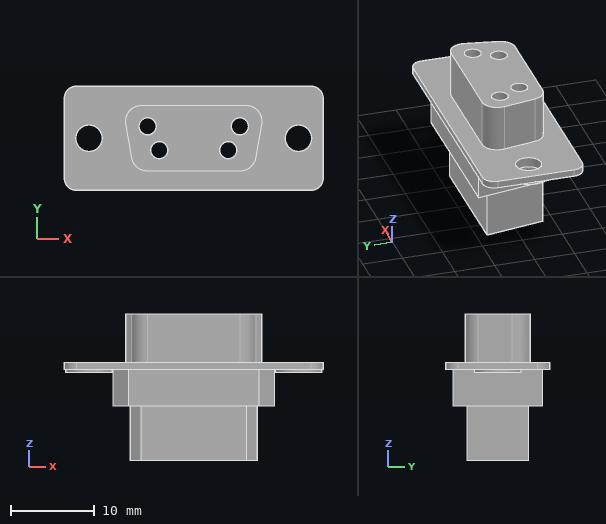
import cadquery as cq
import math

PLATE_LENGTH = 31
PLATE_WIDTH = 12.5
PLATE_THICKNESS = 0.87
PLATE_CORNER_RADIUS = 1.5

MOUNT_OFFSET = 12.52
MOUNT_HOLE_DIAMETER = 3.13
PAD_DIAMETER = 5.6
PAD_THICKNESS = 0.37

SIDE_ANGLE = math.radians(10)
SHELL_LENGTH = 17.05
SHELL_WIDTH = 7.8
SHELL_HEIGHT = 5.8
SHELL_CORNER_RADIUS = 1.9
BODY_LENGTH = 19.38
BODY_WIDTH = 10.75
BODY_HEIGHT = 4.37
TAIL_LENGTH = 15.22
TAIL_WIDTH = 7.38
TAIL_HEIGHT = 6.5

CONTACT_DIAMETER = 2.0
CONTACT_ROW_Y = 1.43
BACK_CONTACT_X = 5.52
FRONT_CONTACT_X = 4.12

plate_bottom = -PLATE_THICKNESS
body_bottom = plate_bottom - BODY_HEIGHT
tail_bottom = body_bottom - TAIL_HEIGHT


def d_block(length, width, height, bottom):
    """Trapezoidal block with sloping ends, narrower toward -Y."""
    back_x = length / 2
    front_x = back_x - width * math.tan(SIDE_ANGLE)
    half_width = width / 2
    outline = [
        (-back_x, half_width),
        (back_x, half_width),
        (front_x, -half_width),
        (-front_x, -half_width),
    ]
    return cq.Workplane("XY").workplane(offset=bottom).polyline(outline).close().extrude(height)


def through_holes(points, diameter):
    """Vertical cutters spanning the full height of the part."""
    height = SHELL_HEIGHT - tail_bottom
    plane = cq.Workplane("XY").workplane(offset=tail_bottom)
    return plane.pushPoints(points).circle(diameter / 2).extrude(height)


plate = (
    cq.Workplane("XY")
    .workplane(offset=plate_bottom)
    .rect(PLATE_LENGTH, PLATE_WIDTH)
    .extrude(PLATE_THICKNESS)
    .edges("|Z")
    .fillet(PLATE_CORNER_RADIUS)
)

shell = d_block(SHELL_LENGTH, SHELL_WIDTH, SHELL_HEIGHT, 0).edges("|Z").fillet(SHELL_CORNER_RADIUS)
body = d_block(BODY_LENGTH, BODY_WIDTH, BODY_HEIGHT, body_bottom)
tail = d_block(TAIL_LENGTH, TAIL_WIDTH, TAIL_HEIGHT, tail_bottom)

mount_points = [(-MOUNT_OFFSET, 0), (MOUNT_OFFSET, 0)]
pads = (
    cq.Workplane("XY")
    .workplane(offset=plate_bottom)
    .pushPoints(mount_points)
    .circle(PAD_DIAMETER / 2)
    .extrude(-PAD_THICKNESS)
)

contact_points = []
for side in (-1, 1):
    contact_points.append((side * BACK_CONTACT_X, CONTACT_ROW_Y))
    contact_points.append((side * FRONT_CONTACT_X, -CONTACT_ROW_Y))

result = plate.union(shell).union(body).union(tail).union(pads)
result = result.cut(through_holes(mount_points, MOUNT_HOLE_DIAMETER))
result = result.cut(through_holes(contact_points, CONTACT_DIAMETER))